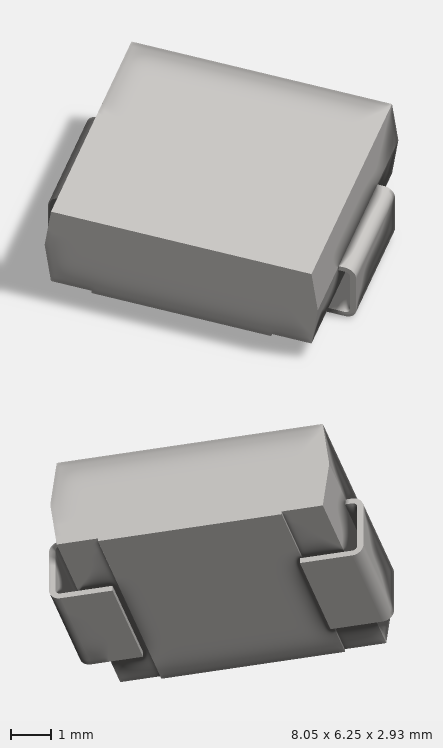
import cadquery as cq

overall_length = 8.05
body_depth = 6.25
overall_height = 2.93

body_length = 7.14
body_face_length = 6.81

body_bottom = 0.48
pad_length = 4.7
pad_bottom = 0.4

lead_width = 3.0
lead_thickness = 0.145
lead_wall = 0.16
lead_top = 1.71
foot_length = 1.63
outer_bend = 0.29
inner_bend = 0.13
body_overlap = 0.16

def make_body():
    """Body tapering above and below the level of the lead tops."""
    half_wide = body_length / 2
    half_face = body_face_length / 2
    half_pad = pad_length / 2
    outline = [
        (-half_face, overall_height),
        (-half_wide, lead_top),
        (-half_face, body_bottom),
        (-half_pad, body_bottom),
        (-half_pad, pad_bottom),
        (half_pad, pad_bottom),
        (half_pad, body_bottom),
        (half_face, body_bottom),
        (half_wide, lead_top),
        (half_face, overall_height),
    ]
    return cq.Workplane("XZ").polyline(outline).close().extrude(body_depth / 2, both=True)

def rounded_block(x_min, x_max, z_min, z_max, radius):
    """Block across the lead width with both edges on its -X side rounded."""
    return (
        cq.Workplane("XY")
        .box(x_max - x_min, lead_width, z_max - z_min)
        .edges("|Y and <X")
        .fillet(radius)
        .translate(((x_min + x_max) / 2, 0, (z_min + z_max) / 2))
    )

def make_left_lead():
    """C-shaped strip leaving the body and folding under it."""
    outside = -overall_length / 2
    underside = lead_top - lead_thickness
    foot_end = outside + foot_length
    upper_end = -body_length / 2 + body_overlap
    lead = rounded_block(outside, foot_end, 0, lead_top, outer_bend)
    hollow = rounded_block(outside + lead_wall, foot_end, lead_thickness, underside, inner_bend)
    trim_length = foot_end - upper_end
    trim = cq.Workplane("XY").box(trim_length, lead_width, lead_top - lead_thickness).translate(
        (upper_end + trim_length / 2, 0, (lead_top + lead_thickness) / 2)
    )
    return lead.cut(hollow).cut(trim)

left_lead = make_left_lead()
right_lead = left_lead.mirror("YZ")
result = make_body().union(left_lead).union(right_lead)